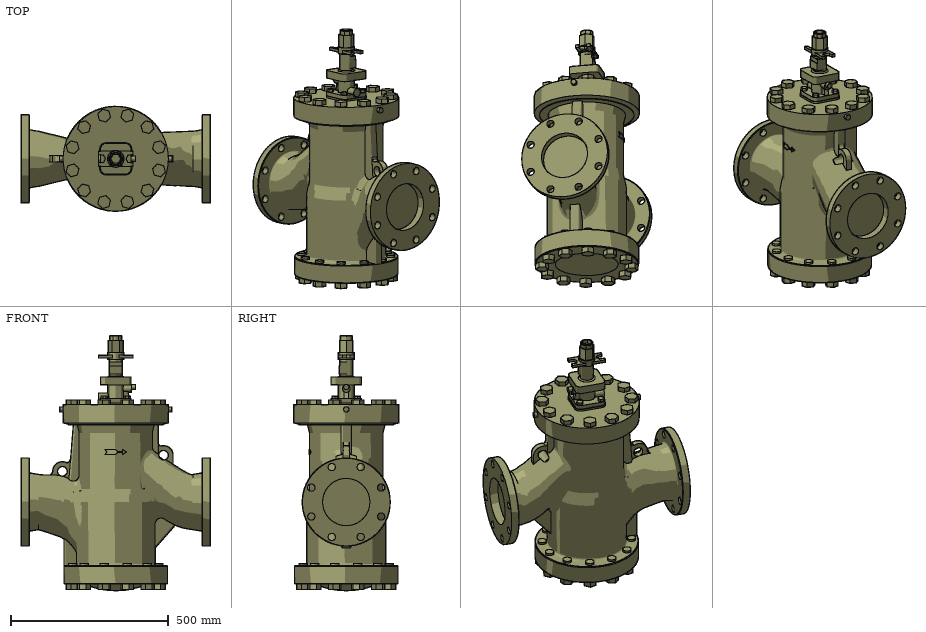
import cadquery as cq
import math


face_to_face = 600.0
pipe_flange_dia = 280.0
pipe_flange_thickness = 26.0
pipe_flange_edge_chamfer = 2.0
pipe_bore_dia = 150.0
pipe_bore_depth = 28.0
pipe_bolt_circle_dia = 240.0
pipe_bolt_hole_dia = 23.0
pipe_bolt_count = 8
hub_root_dia = 184.14
hub_end_dia = 176.0
hub_end_x = 245.0
hub_fillet = 4.0
pipe_flange_back_x = face_to_face / 2 - pipe_flange_thickness
hub_root_x = pipe_flange_back_x - hub_fillet
inlet_blend_radius = 20.0
outlet_blend_radius = 20.0
seam_tolerance = 1.0

upper_barrel_radius = 117.0
lower_barrel_radius = 125.7
collar_radius = 121.0
neck_flare_radius = 123.0
neck_flare_z = 219.0
step_top_z = 40.0
step_middle_z = 23.0
step_bottom_z = -1.0

arrow_z = 159.0
arrow_length = 68.0
arrow_height = 16.0
arrow_tail_notch = 6.0
arrow_body_end_x = 6.0
arrow_shaft = 4.0
arrow_head_length = 12.0
arrow_relief = 2.0

top_flange_dia = 334.0
top_flange_bottom_z = 244.5
underside_step = 2.0
top_flange_rim_z = 251.0
cover_top_z = 309.0
bottom_flange_dia = 330.0
bottom_flange_top_z = -202.0
bottom_cover_z = -260.5
underside_radius = 150.0
rim_chamfer = 2.5
barrel_foot_radius = 7.5
dome_radius = 100.0
dome_height = 21.5

bolt_count = 12
bolt_circle_radius = 142.0
bolt_head_corners = 42.0
top_head_height = 15.0
bottom_head_height = 17.5
stud_dia = 27.0
stud_top_z = -195.5
plug_dia = 17.0
plug_tip_x = 178.0
plug_z = 294.0

rib_thickness = 32.0
rib_edge_radius = 7.0
right_rib_x = 135.0
right_rib_foot_z = 110.0
left_rib_head_x = -135.0
left_rib_foot_x, left_rib_foot_z = -150.0, 55.0
lower_rib_head_z = -90.0
rib_root_x = 90.0
rib_top_z = top_flange_bottom_z + underside_step
gusset_top_z = -30.0
gusset_tip_x, gusset_tip_z = 195.0, -67.0
gusset_foot_x, gusset_foot_z = 121.0, -151.0
lug_thickness = 20.0
lug_radius = 31.0
lug_hole_dia = 30.0
lug_web_step = 4.0
lug_web_length = 40.0
lug_foot_drop = 50.0
lug_corner_radius = 14.0
left_foot_corner_z = 85.0
left_rib_face_x = -144.0
left_lug_x, left_lug_z = -169.5, 97.5
right_lug_x, right_lug_z = 151.5, 148.5

total_height = 810.0
pilot_top_z = bottom_cover_z - dome_height + total_height
gasket_size = 102.0
gasket_thickness = 6.0
gasket_corner_radius = 20.0
plate_size = 97.0
plate_corner_radius = 15.0
base_plate_top_z = 328.0
base_bolt_spacing = 72.0
base_bolt_corners = 21.0
base_bolt_top_z = 336.0
upper_plate_bottom_z = 372.0
upper_plate_top_z = 397.0
neck_dia = 52.0
spring_case_dia = 42.0
spring_case_foot_dia = 54.0
spring_case_foot_height = 3.0
collar_bottom_z = 453.0
collar_top_z = 474.0
window_bottom_z = 406.0
window_step_z = 432.0
window_top_z = 444.5
window_lower_depth = 23.0
window_upper_depth = 21.0
handle_length = 111.0
handle_width = 48.0
handle_bottom_z = 457.0
handle_top_z = 466.0
handle_notch_width = 25.0
handle_notch_shoulder_x = 39.0
handle_notch_point_x = 33.0
cap_flats = 42.0
cap_top_z = 513.5
cap_tip_dia = 39.0
cap_tip_chamfer = 1.5
cap_socket_corners = 32.0
cap_socket_depth = 12.0
inlet_port_dia = 27.0
inlet_port_z = 333.0
inlet_port_tip_x = -55.0
outlet_port_dia = 24.0
outlet_port_z = 360.0
outlet_port_tip_x = 50.0
outlet_web_width = 14.0
outlet_web_top_x = 37.0
outlet_web_foot_x = 44.0
outlet_plug_dia = 17.0
outlet_plug_z = 365.0
outlet_plug_tip_x = 63.0


def disc(dia, bottom_z, top_z):
    """Upright cylinder on the barrel axis."""
    return cq.Workplane("XY").workplane(offset=bottom_z).circle(dia / 2).extrude(top_z - bottom_z)


def x_cylinder(dia, start_x, end_x, z):
    """Cylinder parallel to X, in the Y = 0 plane."""
    return cq.Workplane("YZ", origin=(start_x, 0, z)).circle(dia / 2).extrude(end_x - start_x)


def box_between(x_range, y_range, z_range):
    """Box given by its limits along each axis."""
    size = [high - low for low, high in (x_range, y_range, z_range)]
    corner = cq.Vector(x_range[0], y_range[0], z_range[0])
    return cq.Workplane(cq.Solid.makeBox(*size, corner))


def hexagon(corners, bottom_z, height, x=0.0, y=0.0, turn=0.0):
    """Upright hexagonal prism with a corner at the angle turn (degrees)."""
    prism = cq.Workplane("XY").polygon(6, corners).extrude(height)
    return prism.rotate((0, 0, 0), (0, 0, 1), turn).translate((x, y, bottom_z))


def make_barrel():
    """Barrel, body flanges, covers and bottom dome turned as one profile."""
    top_radius = top_flange_dia / 2
    bottom_radius = bottom_flange_dia / 2
    dome_mid_radius = dome_radius / 2
    sphere_radius = (dome_radius**2 + dome_height**2) / (2 * dome_height)
    dome_mid_drop = math.sqrt(sphere_radius**2 - dome_mid_radius**2) - sphere_radius + dome_height
    profile = (
        cq.Workplane("XZ")
        .moveTo(0, bottom_cover_z - dome_height)
        .threePointArc((dome_mid_radius, bottom_cover_z - dome_mid_drop), (dome_radius, bottom_cover_z))
        .lineTo(bottom_radius - rim_chamfer, bottom_cover_z)
        .lineTo(bottom_radius, bottom_cover_z + rim_chamfer)
        .lineTo(bottom_radius, bottom_flange_top_z - rim_chamfer)
        .lineTo(bottom_radius - rim_chamfer, bottom_flange_top_z)
        .lineTo(lower_barrel_radius + barrel_foot_radius, bottom_flange_top_z)
        .radiusArc((lower_barrel_radius, bottom_flange_top_z + barrel_foot_radius), barrel_foot_radius)
        .lineTo(lower_barrel_radius, step_bottom_z)
        .lineTo(collar_radius, step_middle_z)
        .lineTo(upper_barrel_radius, step_top_z)
        .lineTo(upper_barrel_radius, neck_flare_z)
        .lineTo(neck_flare_radius, top_flange_bottom_z)
        .lineTo(underside_radius, top_flange_bottom_z)
        .lineTo(underside_radius, top_flange_bottom_z + underside_step)
        .lineTo(top_radius, top_flange_rim_z)
        .lineTo(top_radius, cover_top_z)
        .lineTo(0, cover_top_z)
        .close()
    )
    return profile.revolve(360, (0, 0, 0), (0, 1, 0))


def section(x, z, y_radius, z_radius, lean=0.0, upright=False):
    """Elliptical nozzle section, its plane leaning from vertical by the angle lean (degrees).

    The start point of the outline lies at the top where the section is tall or upright is set,
    otherwise at the +Y side; all sections of one nozzle must start on the same side.
    """
    angle = math.radians(lean)
    normal = cq.Vector(math.cos(angle), 0, -math.sin(angle))
    upward = cq.Vector(math.sin(angle), 0, math.cos(angle))
    centre = cq.Vector(x, 0, z)
    if upright or z_radius > y_radius:
        return cq.Wire.makeEllipse(z_radius, y_radius, centre, normal, upward)
    return cq.Wire.makeEllipse(y_radius, z_radius, centre, normal, cq.Vector(0, 1, 0))


def make_hub(side):
    """Conical hub behind a pipe flange; side is -1 for the inlet and +1 for the outlet."""
    root_radius = hub_root_dia / 2
    arc_side = hub_fillet * math.sin(math.pi / 4)
    hub = (
        cq.Workplane("XZ")
        .moveTo(side * hub_end_x, 0)
        .lineTo(side * hub_end_x, hub_end_dia / 2)
        .lineTo(side * hub_root_x, root_radius)
        .threePointArc(
            (side * (hub_root_x + arc_side), root_radius + hub_fillet - arc_side),
            (side * pipe_flange_back_x, root_radius + hub_fillet))
        .lineTo(side * pipe_flange_back_x, 0)
        .close()
    )
    return hub.revolve(360, (0, 0, 0), (1, 0, 0))


def make_inlet():
    """Inlet nozzle: narrows across Y and deepens downward as it enters the barrel."""
    sections = [
        section(-hub_end_x, 0, hub_end_dia / 2, hub_end_dia / 2, upright=True),
        section(-200, -7.5, 77, 94),
        section(-159, -21, 67, 101),
        section(-127, -51, 60, 108),
        section(-60, -90, 55, 112),
    ]
    return cq.Workplane(cq.Solid.makeLoft(sections))


def make_outlet():
    """Outlet nozzle: slopes down from the upper barrel to the pipe flange."""
    sections = [
        section(60, 118, 82, 74, 37),
        section(146, 54, 84, 75, 37),
        section(195, 16, 86, 83, 25),
        section(hub_end_x, 0, hub_end_dia / 2, hub_end_dia / 2),
    ]
    return cq.Workplane(cq.Solid.makeLoft(sections))


def blend_to_barrel(body, side, radius):
    """Round the seam between the barrel and the nozzle on the given side."""
    reach = lower_barrel_radius + seam_tolerance
    seam = []
    for edge in body.edges().vals():
        points = [edge.positionAt(fraction) for fraction in (0.0, 0.25, 0.5, 0.75)]
        on_barrel = all(math.hypot(point.x, point.y) < reach for point in points)
        on_side = all(side * point.x > 0 for point in points)
        if edge.geomType() == "BSPLINE" and on_barrel and on_side:
            seam.append(edge)
    return body.newObject(seam).fillet(radius)


def make_pipe_flange():
    """Round outlet pipe flange, ending at the +X face."""
    outer_x = face_to_face / 2
    flange = x_cylinder(pipe_flange_dia, pipe_flange_back_x, outer_x, 0)
    return flange.faces("<X").chamfer(pipe_flange_edge_chamfer)


def make_pipe_cuts():
    """Blind bore and bolt holes of the outlet pipe flange."""
    outer_x = face_to_face / 2
    bore = x_cylinder(pipe_bore_dia, outer_x - pipe_bore_depth, outer_x, 0)
    holes = (
        cq.Workplane("YZ", origin=(pipe_flange_back_x, 0, 0))
        .polarArray(pipe_bolt_circle_dia / 2, 180 / pipe_bolt_count, 360, pipe_bolt_count)
        .circle(pipe_bolt_hole_dia / 2)
        .extrude(pipe_flange_thickness)
    )
    return bore.union(holes)


def make_rib(outline, outer_point):
    """Flat rib in the Y = 0 plane, its outer face (nearest outer_point) with rounded long edges."""
    rib = cq.Workplane("XZ").polyline(outline).close().extrude(rib_thickness / 2, both=True)
    outer_face = rib.faces(cq.selectors.NearestToPointSelector((outer_point[0], 0, outer_point[1])))
    return outer_face.edges("not(|Y)").fillet(rib_edge_radius)


def make_slanted_rib(top, bottom):
    """Rib whose outer face runs from the point top to the point bottom, both given as (x, z)."""
    root_x = math.copysign(rib_root_x, top[0])
    outline = [(root_x, top[1]), top, bottom, (root_x, bottom[1])]
    middle = ((top[0] + bottom[0]) / 2, (top[1] + bottom[1]) / 2)
    return make_rib(outline, middle)


def make_gusset():
    """Rib that props the outlet nozzle against the barrel."""
    outline = [(rib_root_x, gusset_top_z), (gusset_tip_x, gusset_top_z), (gusset_tip_x, gusset_tip_z),
               (gusset_foot_x, gusset_foot_z), (rib_root_x, gusset_foot_z)]
    middle = ((gusset_tip_x + gusset_foot_x) / 2, (gusset_tip_z + gusset_foot_z) / 2)
    return make_rib(outline, middle)


def make_ribs():
    """Ribs between the barrel, the nozzles and the flanges."""
    lower_left_x = -bottom_flange_dia / 2
    upper_left = make_slanted_rib((left_rib_head_x, rib_top_z), (left_rib_foot_x, left_rib_foot_z))
    upper_right = make_slanted_rib((right_rib_x, rib_top_z), (right_rib_x, right_rib_foot_z))
    lower_left_foot_z = bottom_flange_top_z - rim_chamfer
    lower_left = make_slanted_rib((lower_left_x, lower_rib_head_z), (lower_left_x, lower_left_foot_z))
    return [upper_left, upper_right, lower_left, make_gusset()]


def lug_corner(x, z, x_side, z_side):
    """Concave corner fillet of a lug: fills from the corner (x, z) toward the given sides."""
    near_arc = lug_corner_radius * (1 - math.sin(math.pi / 4))
    outline = (
        cq.Workplane("XZ")
        .moveTo(x, z)
        .lineTo(x + x_side * lug_corner_radius, z)
        .threePointArc((x + x_side * near_arc, z + z_side * near_arc), (x, z + z_side * lug_corner_radius))
        .close()
    )
    return outline.extrude(lug_thickness / 2, both=True)


def make_lug(x, z, barrel_side):
    """Lifting eye plate: round eye, web toward the barrel and foot down into the nozzle."""
    half = lug_thickness / 2
    web_top_z = z + lug_radius - lug_web_step
    inner_x = x + barrel_side * lug_web_length
    lug = cq.Workplane("XZ", origin=(x, 0, z)).circle(lug_radius).extrude(half, both=True)
    lug = lug.union(box_between(sorted((x, inner_x)), (-half, half), (z - lug_foot_drop, web_top_z)))
    return lug.union(box_between((x - lug_radius, x + lug_radius), (-half, half), (z - lug_foot_drop, z)))


def make_lugs():
    """The two lifting lugs with corner fillets where they run out."""
    left = make_lug(left_lug_x, left_lug_z, 1)
    left_web_top = left_lug_z + lug_radius - lug_web_step
    left = left.union(lug_corner(left_lug_x - lug_radius, left_foot_corner_z, -1, 1))
    left = left.union(lug_corner(left_rib_face_x, left_web_top, -1, 1))
    right = make_lug(right_lug_x, right_lug_z, -1)
    right_web_top = right_lug_z + lug_radius - lug_web_step
    right = right.union(lug_corner(right_rib_x, right_web_top, 1, 1))
    return left.union(right)


def make_bolts():
    """Cover bolt heads above and below, and stud ends on the bottom flange."""
    bottom_head_z = bottom_cover_z - bottom_head_height
    bolts = []
    for index in range(bolt_count):
        angle = (index + 0.5) * 360 / bolt_count
        x = bolt_circle_radius * math.cos(math.radians(angle))
        y = bolt_circle_radius * math.sin(math.radians(angle))
        bolts.append(hexagon(bolt_head_corners, cover_top_z, top_head_height, x, y, angle))
        bolts.append(hexagon(bolt_head_corners, bottom_head_z, bottom_head_height, x, y, angle))
        bolts.append(disc(stud_dia, bottom_flange_top_z, stud_top_z).translate((x, y, 0)))
    return bolts


def make_flow_arrow():
    """Raised flow arrow on the front of the barrel, pointing to the outlet."""
    half = arrow_height / 2
    tip_x = arrow_length / 2
    half_shaft = arrow_shaft / 2
    upper = [
        (arrow_tail_notch - tip_x, 0),
        (-tip_x, half),
        (arrow_body_end_x - half, half),
        (arrow_body_end_x, half_shaft),
        (tip_x - arrow_head_length, half_shaft),
        (tip_x - arrow_head_length, half),
        (tip_x, 0),
    ]
    lower = [(x, -z) for x, z in reversed(upper[1:-1])]
    outline = cq.Workplane("XZ", origin=(0, 0, arrow_z)).polyline(upper + lower).close()
    raised_radius = upper_barrel_radius + arrow_relief
    skin = disc(2 * raised_radius, arrow_z - half, arrow_z + half)
    return outline.extrude(2 * upper_barrel_radius).intersect(skin)


def make_main_valve():
    """Housing with its covers, nozzles, ribs, lugs, bolts and plugs as one solid."""
    body = make_barrel()
    body = blend_to_barrel(body.union(make_inlet()), -1, inlet_blend_radius)
    body = blend_to_barrel(body.union(make_outlet()), 1, outlet_blend_radius)
    body = body.union(make_flow_arrow())
    for side in (-1, 1):
        body = body.union(make_hub(side))
    for rib in make_ribs():
        body = body.union(rib)
    body = body.union(make_lugs())
    for lug_x, lug_z in ((left_lug_x, left_lug_z), (right_lug_x, right_lug_z)):
        hole = cq.Workplane("XZ", origin=(lug_x, 0, lug_z)).circle(lug_hole_dia / 2)
        body = body.cut(hole.extrude(rib_thickness, both=True))
    flange = make_pipe_flange()
    cuts = make_pipe_cuts()
    body = body.union(flange).union(flange.mirror("YZ"))
    body = body.cut(cuts).cut(cuts.mirror("YZ"))
    body = body.union(x_cylinder(plug_dia, -plug_tip_x, plug_tip_x, plug_z))
    for bolt in make_bolts():
        body = body.union(bolt)
    return body


def square_plate(size, corner_radius, bottom_z, top_z):
    """Square plate with rounded corners."""
    plate = cq.Workplane("XY").workplane(offset=bottom_z).rect(size, size).extrude(top_z - bottom_z)
    return plate.edges("|Z").fillet(corner_radius)


def make_handle():
    """Lock handle: flat bar with a pointed notch in each end."""
    half_length = handle_length / 2
    half_notch = handle_notch_width / 2
    thickness = handle_top_z - handle_bottom_z
    bar = box_between(
        (-half_length, half_length), (-handle_width / 2, handle_width / 2), (handle_bottom_z, handle_top_z))
    for side in (-1, 1):
        notch = cq.Workplane("XY").workplane(offset=handle_bottom_z).polyline([
            (side * half_length, half_notch),
            (side * handle_notch_shoulder_x, half_notch),
            (side * handle_notch_point_x, 0),
            (side * handle_notch_shoulder_x, -half_notch),
            (side * half_length, -half_notch),
        ])
        bar = bar.cut(notch.close().extrude(thickness))
    return bar


def make_pilot_base():
    """Base plate on its gasket, with corner bolts, neck, the two side ports and the outlet port web."""
    base = square_plate(gasket_size, gasket_corner_radius, cover_top_z, cover_top_z + gasket_thickness)
    base = base.union(square_plate(plate_size, plate_corner_radius, cover_top_z, base_plate_top_z))
    for x_side in (-1, 1):
        for y_side in (-1, 1):
            bolt_x = x_side * base_bolt_spacing / 2
            bolt_y = y_side * base_bolt_spacing / 2
            height = base_bolt_top_z - base_plate_top_z
            base = base.union(hexagon(base_bolt_corners, base_plate_top_z, height, bolt_x, bolt_y))
    base = base.union(disc(neck_dia, base_plate_top_z, upper_plate_bottom_z))
    base = base.union(x_cylinder(inlet_port_dia, inlet_port_tip_x, 0, inlet_port_z))
    base = base.union(x_cylinder(outlet_port_dia, 0, outlet_port_tip_x, outlet_port_z))
    web = cq.Workplane("XZ").polyline([
        (0, outlet_port_z),
        (outlet_web_top_x, outlet_port_z),
        (outlet_web_foot_x, base_plate_top_z),
        (0, base_plate_top_z),
    ])
    base = base.union(web.close().extrude(outlet_web_width / 2, both=True))
    return base.union(x_cylinder(outlet_plug_dia, 0, outlet_plug_tip_x, outlet_plug_z))


def make_spring_case():
    """Clamp plates, spring case with its flat window frame, and collar."""
    case = square_plate(plate_size, plate_corner_radius, upper_plate_bottom_z, upper_plate_top_z)
    foot = cq.Solid.makeCone(
        spring_case_foot_dia / 2,
        spring_case_dia / 2,
        spring_case_foot_height,
        cq.Vector(0, 0, upper_plate_top_z))
    case = case.union(cq.Workplane(foot))
    case = case.union(disc(spring_case_dia, upper_plate_top_z, collar_bottom_z))
    half_width = spring_case_dia / 2
    x_range = (-half_width, half_width)
    case = case.union(box_between(x_range, (-window_lower_depth, 0), (window_bottom_z, window_step_z)))
    case = case.union(box_between(x_range, (-window_upper_depth, 0), (window_step_z, window_top_z)))
    return case.union(disc(neck_dia, collar_bottom_z, collar_top_z))


def make_cap():
    """Hexagonal cap with a round tip and a hexagonal socket."""
    cap_corners = cap_flats / math.cos(math.pi / 6)
    cap = hexagon(cap_corners, collar_top_z, cap_top_z - collar_top_z)
    cap = cap.union(disc(cap_tip_dia, cap_top_z, pilot_top_z).faces(">Z").chamfer(cap_tip_chamfer))
    return cap.cut(hexagon(cap_socket_corners, pilot_top_z - cap_socket_depth, cap_socket_depth))


def make_pilot_valve():
    """Pilot valve standing on the top cover as one solid."""
    return make_pilot_base().union(make_spring_case()).union(make_handle()).union(make_cap())


main_valve = make_main_valve()
pilot_valve = make_pilot_valve()
result = cq.Compound.makeCompound([main_valve.val(), pilot_valve.val()])